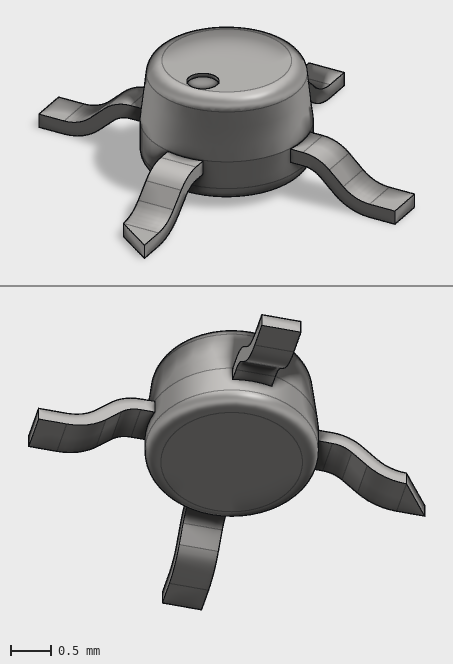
import cadquery as cq
import math

overall_height = 1.52
housing_diameter = 2.16
housing_bottom = 0.095
seam_height = 0.675
taper_angle = 6.5
edge_radius = 0.2

mark_diameter = 0.4
mark_depth = 0.05

lead_span = 5.08
lead_width = 0.505
lead_thickness = 0.19
lead_top = 0.665
foot_length = 0.36
bend_start = 1.23
bend_run = 0.375
bend_angle = 42.7

housing_radius = housing_diameter / 2
taper = math.radians(taper_angle)
cap_top_radius = housing_radius - (overall_height - seam_height) * math.tan(taper)
flat_radius = cap_top_radius - edge_radius * math.tan((math.pi / 2 - taper) / 2)
lead_reach = lead_span / 2
foot_start = lead_reach - foot_length


def make_housing():
    """Revolve the tapered body, round its rims and sink the index mark."""
    body = (
        cq.Workplane("XZ")
        .moveTo(0, housing_bottom)
        .lineTo(housing_radius, housing_bottom)
        .lineTo(housing_radius, seam_height)
        .lineTo(cap_top_radius, overall_height)
        .lineTo(0, overall_height)
        .close()
        .revolve(360, (0, 0), (0, 1))
    )
    body = body.faces("<Z or >Z").edges().fillet(edge_radius)
    mark = (
        cq.Workplane("XY", origin=(0, 0, overall_height - mark_depth))
        .center(0, mark_diameter / 2 - flat_radius)
        .circle(mark_diameter / 2)
        .extrude(mark_depth)
    )
    return body.cut(mark)


def bend_point(center, radius, angle):
    """Point on a bend, with the angle measured from +Z toward the foot."""
    return (center[0] + radius * math.sin(angle), center[1] + radius * math.cos(angle))


def make_lead(housing):
    """Bend a strip along +X and fit its inner end to the housing wall."""
    angle = math.radians(bend_angle)
    top_radius = bend_run / math.sin(angle)
    under_radius = top_radius - lead_thickness
    sole_radius = top_radius + lead_thickness
    upper = (bend_start, lead_top - top_radius)
    lower = (foot_start, sole_radius)
    profile = (
        cq.Workplane("XZ", origin=(0, lead_width / 2, 0))
        .moveTo(0, lead_top)
        .lineTo(bend_start, lead_top)
        .threePointArc(bend_point(upper, top_radius, angle / 2), bend_point(upper, top_radius, angle))
        .lineTo(*bend_point(lower, -top_radius, angle))
        .threePointArc(bend_point(lower, -top_radius, angle / 2), (foot_start, lead_thickness))
        .lineTo(lead_reach, lead_thickness)
        .lineTo(lead_reach, 0)
        .lineTo(foot_start, 0)
        .threePointArc(bend_point(lower, -sole_radius, angle / 2), bend_point(lower, -sole_radius, angle))
        .lineTo(*bend_point(upper, under_radius, angle))
        .threePointArc(
            bend_point(upper, under_radius, angle / 2),
            (bend_start, lead_top - lead_thickness),
        )
        .lineTo(0, lead_top - lead_thickness)
        .close()
    )
    return profile.extrude(lead_width).cut(housing)


def cut_foot_diagonally(lead):
    """Slant the foot of the -Y lead so that its tip points out on the +X side."""
    half_width = lead_width / 2
    corner = (
        cq.Workplane("XY")
        .moveTo(-half_width, -foot_start)
        .lineTo(half_width, -lead_reach)
        .lineTo(-half_width, -lead_reach)
        .close()
        .extrude(lead_thickness)
    )
    return lead.cut(corner)


housing = make_housing()
straight_lead = make_lead(housing)

leads = []
for direction in (0, 90, 180, 270):
    lead = straight_lead.rotate((0, 0, 0), (0, 0, 1), direction)
    if direction == 270:
        lead = cut_foot_diagonally(lead)
    leads.append(lead.val())

result = cq.Compound.makeCompound([housing.val(), *leads])